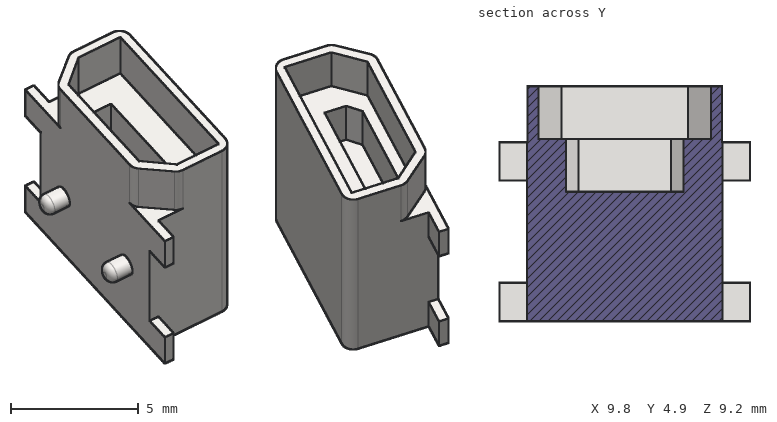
import cadquery as cq

height = 9.2
body_width = 7.66
total_depth = 4.9
body_depth = 3.89
corner_radius = 0.49

mouth_height = 2.2
bevel_width = 1.18
bevel_depth = 1.39

tab_span = 9.8
tab_thickness = 0.41
tab_height = 1.51

side_wall = 0.38
front_wall = 0.41
cavity_depth = 2.07
cavity_bevel_width = 0.98
cavity_bevel_depth = 1.13

recess_width = 4.59
recess_bottom = 0.89
recess_top = 2.29
recess_bevel = 0.49
recess_depth = cavity_depth

pin_diameter = 0.86
pin_length = total_depth - body_depth
pin_spacing = 4.39
pin_z = 3.28
pin_tip_radius = 0.3

shoulder_z = height - mouth_height


def beveled_prism(width, y_front, y_back, bevel_x, bevel_y, z_bottom, length):
    """Extrude a rectangle whose two front corners are cut off."""
    half = width / 2
    outline = [
        (-half, y_back),
        (half, y_back),
        (half, y_front + bevel_y),
        (half - bevel_x, y_front),
        (-half + bevel_x, y_front),
        (-half, y_front + bevel_y),
    ]
    return cq.Workplane("XY", origin=(0, 0, z_bottom)).polyline(outline).close().extrude(length)


def tab_strip(z_bottom):
    """One strip across the mounting face, forming a tab at each side."""
    return cq.Workplane("XY").box(tab_span, tab_thickness, tab_height, centered=(True, False, False)).translate(
        (0, 0, z_bottom)
    )


def locating_pin(x):
    """Round-ended pin standing out of the mounting face toward -Y."""
    pin = cq.Workplane("XZ", origin=(x, 0, pin_z)).circle(pin_diameter / 2).extrude(pin_length)
    return pin.faces("<Y").edges().fillet(pin_tip_radius)


body = (
    cq.Workplane("XY")
    .box(body_width, body_depth, shoulder_z, centered=(True, False, False))
    .edges("|Z and >Y")
    .fillet(corner_radius)
)

mouth = beveled_prism(body_width, 0, body_depth, bevel_width, bevel_depth, shoulder_z, mouth_height)
body = body.union(mouth.edges("|Z").fillet(corner_radius))

for tab_z in (0, shoulder_z - tab_height):
    body = body.union(tab_strip(tab_z))

for pin_x in (-pin_spacing / 2, pin_spacing / 2):
    body = body.union(locating_pin(pin_x))

floor_z = height - cavity_depth
cavity = beveled_prism(
    body_width - 2 * side_wall,
    front_wall,
    body_depth - side_wall,
    cavity_bevel_width,
    cavity_bevel_depth,
    floor_z,
    cavity_depth,
)
recess = beveled_prism(
    recess_width, recess_bottom, recess_top, recess_bevel, recess_bevel, floor_z - recess_depth, recess_depth
)
result = body.cut(cavity).cut(recess)